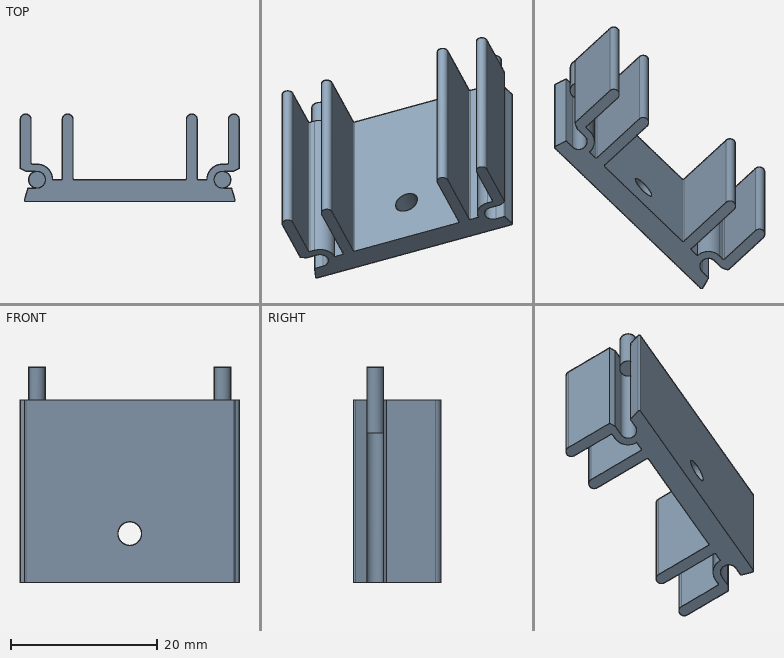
import cadquery as cq
import math

WIDTH = 30.0
DEPTH = 12.0
HEIGHT = 25.0

BASE_THICKNESS = 3.0
BASE_HALF_WIDTH = 14.5
LIP_HALF_WIDTH = 13.95
BASE_CORNER_RADIUS = 0.2
LIP_CORNER_RADIUS = 0.1

FIN_THICKNESS = 1.5
FIN_RADIUS = FIN_THICKNESS / 2
INNER_FIN_X = 8.5
FIN_ROOT_RADIUS = 0.15

PIN_DIAMETER = 2.3
PIN_RADIUS = PIN_DIAMETER / 2
PIN_X = 12.7
PIN_Y = BASE_THICKNESS
PIN_LENGTH = 9.0
PIN_PROJECTION = 4.5
GROOVE_WALL = 1.0
GROOVE_LEAD_IN_WIDTH = 0.8
GROOVE_LEAD_IN_DEPTH = 0.4

HOLE_DIAMETER = 3.2
HOLE_Z = 6.7

OVERLAP = 1.0


def extrude_up(sketch):
    """Extrude a closed XY outline over the full height of the heat sink."""
    return sketch.extrude(HEIGHT)


def make_base():
    """Plate with sloped side edges below the grooves and a narrower block between them."""
    groove_bottom = PIN_Y - PIN_RADIUS
    plate = extrude_up(
        cq.Workplane("XY").polyline([
            (-BASE_HALF_WIDTH, 0),
            (BASE_HALF_WIDTH, 0),
            (LIP_HALF_WIDTH, groove_bottom),
            (PIN_X, groove_bottom),
            (PIN_X, BASE_THICKNESS),
            (-PIN_X, BASE_THICKNESS),
            (-PIN_X, groove_bottom),
            (-LIP_HALF_WIDTH, groove_bottom),
        ]).close()
    )
    for side in (-1, 1):
        corner = cq.NearestToPointSelector((side * BASE_HALF_WIDTH, 0, HEIGHT / 2))
        plate = plate.edges(corner).fillet(BASE_CORNER_RADIUS)
        lip = cq.NearestToPointSelector((side * LIP_HALF_WIDTH, groove_bottom, HEIGHT / 2))
        plate = plate.edges(lip).fillet(LIP_CORNER_RADIUS)
    return plate


def make_inner_fin():
    """Straight fin with a fully rounded tip, standing on the plate."""
    tip_start = DEPTH - FIN_RADIUS
    left = INNER_FIN_X - FIN_RADIUS
    right = INNER_FIN_X + FIN_RADIUS
    return extrude_up(
        cq.Workplane("XY")
        .moveTo(left, BASE_THICKNESS - OVERLAP)
        .lineTo(right, BASE_THICKNESS - OVERLAP)
        .lineTo(right, tip_start)
        .threePointArc((INNER_FIN_X, DEPTH), (left, tip_start))
        .close()
    )


def make_outer_fin():
    """Outer fin joined to the plate by a curved wall around the pin groove."""
    outer = WIDTH / 2
    inner = outer - FIN_THICKNESS
    tip_start = DEPTH - FIN_RADIUS
    groove_top = PIN_Y + PIN_RADIUS
    wall_radius = PIN_RADIUS + GROOVE_WALL
    wall_diagonal = wall_radius * math.sqrt(0.5)
    return extrude_up(
        cq.Workplane("XY")
        .moveTo(PIN_X, groove_top)
        .lineTo(outer - GROOVE_LEAD_IN_WIDTH, groove_top)
        .lineTo(outer, groove_top + GROOVE_LEAD_IN_DEPTH)
        .lineTo(outer, tip_start)
        .threePointArc((outer - FIN_RADIUS, DEPTH), (inner, tip_start))
        .lineTo(inner, PIN_Y + wall_radius)
        .lineTo(PIN_X, PIN_Y + wall_radius)
        .threePointArc((PIN_X - wall_diagonal, PIN_Y + wall_diagonal), (PIN_X - wall_radius, PIN_Y))
        .lineTo(PIN_X - wall_radius, PIN_Y - OVERLAP)
        .lineTo(PIN_X, PIN_Y - OVERLAP)
        .close()
    )


def round_fin_roots(body):
    """Fillet the inside corners on both sides of each inner fin and inside each outer fin."""
    roots = [
        (INNER_FIN_X - FIN_RADIUS, BASE_THICKNESS),
        (INNER_FIN_X + FIN_RADIUS, BASE_THICKNESS),
        (WIDTH / 2 - FIN_THICKNESS, PIN_Y + PIN_RADIUS + GROOVE_WALL),
    ]
    for side in (-1, 1):
        for x, y in roots:
            root = cq.NearestToPointSelector((side * x, y, HEIGHT / 2))
            body = body.edges(root).fillet(FIN_ROOT_RADIUS)
    return body


def cylinder_along_z(x, radius, bottom, length):
    return cq.Workplane("XY", origin=(x, PIN_Y, bottom)).circle(radius).extrude(length)


def make_mounting_hole():
    return (
        cq.Workplane("XZ", origin=(0, 0, HOLE_Z))
        .circle(HOLE_DIAMETER / 2)
        .extrude(-BASE_THICKNESS)
    )


def make_heat_sink():
    """Extruded profile with open pin grooves and the mounting hole."""
    body = make_base()
    for fin in (make_inner_fin(), make_outer_fin()):
        body = body.union(fin).union(fin.mirror("YZ"))
    for groove_x in (-PIN_X, PIN_X):
        body = body.cut(cylinder_along_z(groove_x, PIN_RADIUS, 0, HEIGHT))
    body = round_fin_roots(body)
    return body.cut(make_mounting_hole())


def add_pins(body):
    """Press the solder pins into the upper ends of the grooves."""
    pin_bottom = HEIGHT + PIN_PROJECTION - PIN_LENGTH
    for pin_x in (-PIN_X, PIN_X):
        body = body.union(cylinder_along_z(pin_x, PIN_RADIUS, pin_bottom, PIN_LENGTH))
    return body


result = add_pins(make_heat_sink())